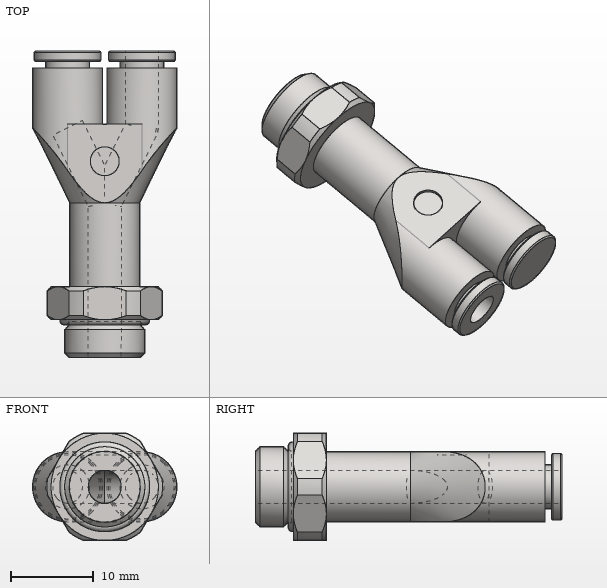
import cadquery as cq
import math


thread_radius = 9.73 / 2
thread_chamfer = 0.57
neck_radius = 4.34
seal_start = 3.97
seal_outer_radius = 5.45
seal_section_radius = 0.57

hex_start = 4.6
hex_length = 4.0
hex_across_flats = 13.0
hex_corner_radius = 7.0
hex_chamfer = 0.5

stem_radius = 4.25
branch_radius = stem_radius
branch_offset = 4.5
fork_start = 18.77
cone_end = 27.85
web_end = 28.3
branch_end = 35.12
total_length = 37.17

collet_neck_radius = 5.35 / 2
collet_flange_radius = 8.1 / 2
collet_flange_start = 35.87
collet_chamfer = 0.17

recess_radius = 1.75
recess_y = 23.8
recess_depth = 0.4

bore_radius = 2.0
bore_split_y = fork_start
branch_bore_start = cone_end


def cylinder_along_y(radius, start, end, x=0.0):
    """Solid cylinder parallel to Y between two Y positions."""
    return cq.Workplane("XY").add(
        cq.Solid.makeCylinder(radius, end - start, cq.Vector(x, start, 0), cq.Vector(0, 1, 0))
    )


def cone_along_y(start_radius, end_radius, start, end):
    """Solid truncated cone around the main axis."""
    return cq.Workplane("XY").add(
        cq.Solid.makeCone(
            start_radius, end_radius, end - start, cq.Vector(0, start, 0), cq.Vector(0, 1, 0)
        )
    )


def make_threaded_end():
    """Chamfered thread blank, with a round seal ring on a neck between it and the hexagon."""
    thread = cylinder_along_y(thread_radius, 0, seal_start).edges("%CIRCLE").chamfer(thread_chamfer)
    neck = cylinder_along_y(neck_radius, seal_start, hex_start)
    seal = cq.Solid.makeTorus(
        seal_outer_radius - seal_section_radius,
        seal_section_radius,
        cq.Vector(0, seal_start + seal_section_radius, 0),
        cq.Vector(0, 1, 0),
    )
    return thread.union(neck).union(cq.Workplane("XY").add(seal))


def make_hex():
    """Hexagon with two flats facing +Z and -Z, trimmed by a chamfered cylinder."""
    hex_end = hex_start + hex_length
    across_corners = hex_across_flats / math.cos(math.pi / 6)
    prism = (
        cq.Workplane("XZ", origin=(0, hex_end, 0))
        .polygon(6, across_corners)
        .extrude(hex_length)
    )
    trim = cylinder_along_y(hex_corner_radius, hex_start, hex_end).edges("%CIRCLE").chamfer(hex_chamfer)
    return prism.intersect(trim)


def make_body():
    """Two parallel branches joined by a flat web and tapered by a cone towards the stem."""
    web_length = web_end - fork_start
    fork = cq.Workplane("XY").box(2 * branch_offset, web_length, 2 * branch_radius).translate(
        (0, fork_start + web_length / 2, 0)
    )
    for side in (-1, 1):
        fork = fork.union(cylinder_along_y(branch_radius, fork_start, branch_end, side * branch_offset))

    envelope_radius = branch_offset + branch_radius
    envelope = cone_along_y(stem_radius, envelope_radius, fork_start, cone_end).union(
        cylinder_along_y(envelope_radius, cone_end, branch_end)
    )
    stem = cylinder_along_y(stem_radius, hex_start, fork_start)
    return fork.intersect(envelope).union(stem)


def make_collet(x):
    neck = cylinder_along_y(collet_neck_radius, branch_end, collet_flange_start, x)
    flange = cylinder_along_y(collet_flange_radius, collet_flange_start, total_length, x)
    return neck.union(flange.edges("%CIRCLE").chamfer(collet_chamfer))


def make_branch_bore(side):
    """Slanted passage from the main bore, followed by a straight one through the branch end."""
    run_x = side * branch_offset
    run_y = branch_bore_start - bore_split_y
    slanted = cq.Solid.makeCylinder(
        bore_radius, math.hypot(run_x, run_y), cq.Vector(0, bore_split_y, 0), cq.Vector(run_x, run_y, 0)
    )
    elbow = cq.Workplane("XY").sphere(bore_radius).translate((run_x, branch_bore_start, 0))
    straight = cylinder_along_y(bore_radius, branch_bore_start, total_length, run_x)
    return straight.union(elbow).union(cq.Workplane("XY").add(slanted))


def make_recess():
    return (
        cq.Workplane("XY", origin=(0, recess_y, branch_radius))
        .circle(recess_radius)
        .extrude(-recess_depth)
    )


result = make_body().union(make_hex()).union(make_threaded_end())
for branch_side in (-1, 1):
    result = result.union(make_collet(branch_side * branch_offset))

result = result.cut(cylinder_along_y(bore_radius, 0, bore_split_y))
for branch_side in (-1, 1):
    result = result.cut(make_branch_bore(branch_side))
result = result.cut(make_recess())